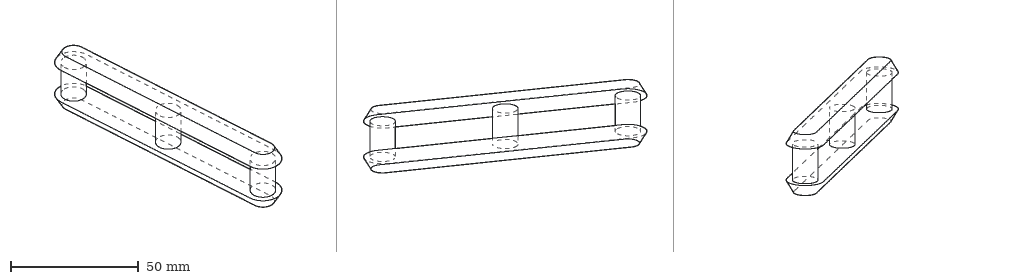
import cadquery as cq

length = 115.0
width = 15.0
height = 25.0

plate_gap = 15.0
plate_thickness = (height - plate_gap) / 2
taper_angle = 30.0
post_diameter = 10.0
post_spacing = (length - width) / 2


def upper_plate():
    """Round-ended plate, widest on its inner face and narrowing outward."""
    return (
        cq.Workplane("XY", origin=(0, 0, plate_gap / 2))
        .slot2D(length, width)
        .extrude(plate_thickness, taper=taper_angle)
    )


def posts():
    """Row of posts along X, spanning the gap between the plates."""
    return (
        cq.Workplane("XY")
        .pushPoints([(position * post_spacing, 0) for position in (-1, 0, 1)])
        .circle(post_diameter / 2)
        .extrude(plate_gap / 2, both=True)
    )


top = upper_plate()
bottom = top.mirror("XY")
result = posts().union(top).union(bottom)